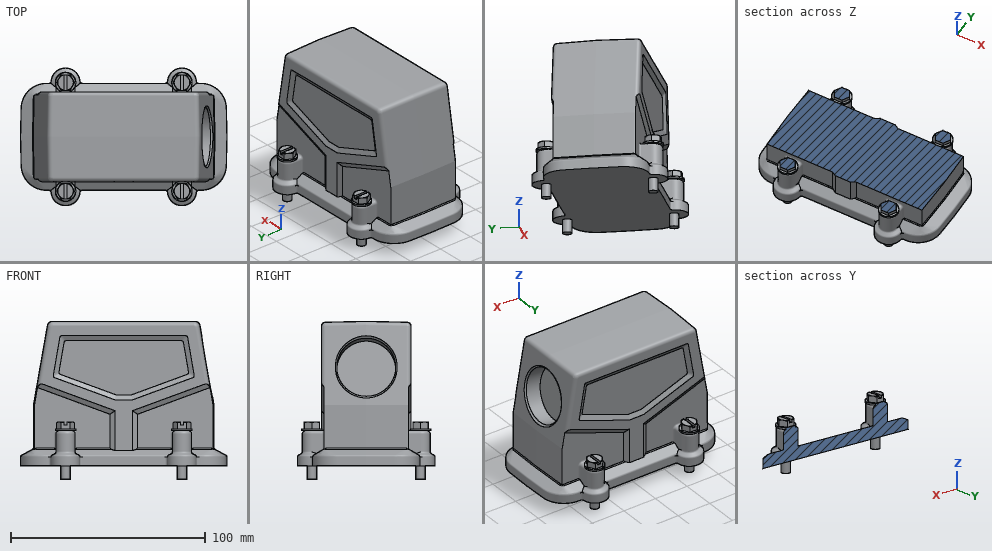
import cadquery as cq
import math

DRAFT = 1.2
BODY_HALF_LENGTH = 46.6
TOP_HALF_LENGTH = 39.0
KINK_Z = 31.2
TOP_Z = 74.5
BODY_START_Z = 1.0
RAISED_HALF_WIDTH = 23.15
RELIEF_DEPTH = 1.5
RECESSED_HALF_WIDTH = RAISED_HALF_WIDTH - RELIEF_DEPTH
RAISED_EDGE_RADIUS = 2.2
TOP_RIDGE_RADIUS = 2.6
RECESSED_EDGE_RADIUS = 1.3

FLANK_ANGLE = 60.0
ARM_ANGLE = 20.2
LEG_HALF_WIDTH = 4.5
ARM_START_Z = 28.4
POCKET_TOP_Z = 67.1
POCKET_BOTTOM_Z = 34.0
POCKET_TOP_HALF_LENGTH = 32.8
POCKET_SIDE_HALF_LENGTH = 36.45
POCKET_CORNER_RADIUS = 2.5

FLANGE_HALF_LENGTH = 53.25
FLANGE_HALF_WIDTH = 27.6
FLANGE_RIM_Z = 5.2
SLOPE_TOP_Z = 8.5
ROOT_TOP_Z = 9.2
ROOT_OUTSET = 0.45
ROOT_OVERLAP = 0.05
FLANGE_CORNER_RADIUS = 13.2
RIM_RADIUS = 1.0

BOSS_X = 30.0
BOSS_Y = 28.0
BOSS_RADIUS = 5.0
BOSS_TOP_Z = 18.1
BOSS_TOP_RADIUS = 1.75
BOSS_WALL_RADIUS = 1.0
LUG_RADIUS = 7.5
LUG_TOP_Z = 6.7
LUG_BOSS_RADIUS = 0.9
LUG_CORNER_RADIUS = 1.2
NOTCH_TOP_Z = 4.6

PIN_DIAMETER = 5.0
PIN_BOTTOM_Z = -7.0
PIN_OVERLAP = 1.0
WASHER_RADIUS = 5.3
WASHER_THICKNESS = 0.95
HEAD_ACROSS_FLATS = 8.0
HEAD_HEIGHT = 3.55
HEAD_CHAMFER_HEIGHT = 0.4
SLOT_WIDTH = 1.4
SLOT_DEPTH = 1.5

ENTRY_DIAMETER = 30.4
ENTRY_CHAMFER = 1.1
ENTRY_DEPTH = 10.0
ENTRY_Z = 51.0

SELECT_MARGIN = 0.1
ARM_SLOPE = math.tan(math.radians(ARM_ANGLE))
END_LEAN = (BODY_HALF_LENGTH - TOP_HALF_LENGTH) / (TOP_Z - KINK_Z)


def level_box(reach, z):
    """Selects what is centred at height z within the given reach of the Z axis."""
    return cq.selectors.BoxSelector(
        (-reach, -reach, z - SELECT_MARGIN),
        (reach, reach, z + SELECT_MARGIN),
    )


def drafted_body(half_width, edge_radius):
    """The -Y half of a body with rounded top ridges and side edges."""
    profile = [
        (-BODY_HALF_LENGTH, BODY_START_Z),
        (BODY_HALF_LENGTH, BODY_START_Z),
        (BODY_HALF_LENGTH, KINK_Z),
        (TOP_HALF_LENGTH, TOP_Z),
        (-TOP_HALF_LENGTH, TOP_Z),
        (-BODY_HALF_LENGTH, KINK_Z),
    ]
    half = cq.Workplane("XZ").polyline(profile).close().extrude(half_width, taper=DRAFT)
    top_ridges = cq.selectors.BoxSelector(
        (-BODY_HALF_LENGTH, -half_width + 1, TOP_Z - 2),
        (BODY_HALF_LENGTH, -1, TOP_Z + 1),
    )
    half = half.edges(top_ridges).fillet(TOP_RIDGE_RADIUS)
    return half.faces("<Y").edges("not <Z").fillet(edge_radius)


def side_sketch(points, y):
    """A closed outline on the -Y side, in X and Z, at distance y from the parting plane."""
    return cq.Workplane("XZ", origin=(0, -y, 0)).polyline(points).close()


def panel_recess(side):
    """Cutter for the recessed panel beside the leg, on the -Y face; side is -1 or 1."""
    reach = 2 * BODY_HALF_LENGTH
    bottom = -reach
    edge = [
        (side * LEG_HALF_WIDTH, bottom),
        (side * LEG_HALF_WIDTH, ARM_START_Z),
        (side * reach, ARM_START_Z + (reach - LEG_HALF_WIDTH) * ARM_SLOPE),
        (side * reach, bottom),
    ]
    return side_sketch(edge, RAISED_HALF_WIDTH).extrude(-RELIEF_DEPTH, taper=FLANK_ANGLE)


def pocket():
    """Cutter for the shallow pocket in the raised panel, with its four outer corners rounded."""
    side_z = POCKET_BOTTOM_Z + (POCKET_SIDE_HALF_LENGTH - LEG_HALF_WIDTH) * ARM_SLOPE
    right = [
        (LEG_HALF_WIDTH, POCKET_BOTTOM_Z),
        (POCKET_SIDE_HALF_LENGTH, side_z),
        (POCKET_TOP_HALF_LENGTH, POCKET_TOP_Z),
    ]
    left = [(-x, z) for x, z in reversed(right)]
    cutter = side_sketch(right + left, RAISED_HALF_WIDTH).extrude(-RELIEF_DEPTH, taper=FLANK_ANGLE)
    beyond_leg = LEG_HALF_WIDTH + 1
    centre = cq.selectors.BoxSelector(
        (-beyond_leg, -2 * RAISED_HALF_WIDTH, 0),
        (beyond_leg, 0, TOP_Z),
    )
    corners = cutter.edges("not #Y").edges(cq.selectors.SubtractSelector(cq.Selector(), centre))
    return corners.fillet(POCKET_CORNER_RADIUS)


def hood():
    """The -Y half of the hood: the raised panel on a slimmer body, with the pocket cut in."""
    raised = drafted_body(RAISED_HALF_WIDTH, RAISED_EDGE_RADIUS)
    recesses = panel_recess(-1).union(panel_recess(1))
    raised = raised.cut(recesses)
    recessed = drafted_body(RECESSED_HALF_WIDTH, RECESSED_EDGE_RADIUS)
    return raised.union(recessed).cut(pocket())


def plan_outline(half_length, half_width, corner_radius, z):
    """Six-sided plan outline, its ends drafted from y = 0, with rounded corners."""
    end_x = half_length - half_width * math.tan(math.radians(DRAFT))
    corners = [
        (half_length, 0),
        (end_x, half_width),
        (-end_x, half_width),
        (-half_length, 0),
        (-end_x, -half_width),
        (end_x, -half_width),
    ]
    block = cq.Workplane("XY").workplane(offset=z).polyline(corners).close().extrude(1)
    block = block.edges("|Z and (>Y or <Y)").fillet(corner_radius)
    return block.faces("<Z").wires().val()


def body_outline(outset, z):
    """Plan outline of the recessed body, set outward by a small distance."""
    return plan_outline(
        BODY_HALF_LENGTH + outset, RECESSED_HALF_WIDTH + outset, RECESSED_EDGE_RADIUS + outset, z
    )


def flange():
    """The -Y half of the flange: an upright rim, a slope and a narrow band at the body."""
    foot = plan_outline(FLANGE_HALF_LENGTH, FLANGE_HALF_WIDTH, FLANGE_CORNER_RADIUS, 0)
    rim = foot.moved(cq.Location(cq.Vector(0, 0, FLANGE_RIM_Z)))
    root = body_outline(ROOT_OUTSET, SLOPE_TOP_Z)
    neck = body_outline(-ROOT_OVERLAP, ROOT_TOP_Z)
    tiers = [(foot, rim), (rim, root), (root, neck)]
    plate = cq.Workplane("XY")
    for lower, upper in tiers:
        plate = plate.add(cq.Solid.makeLoft([lower, upper], True))
    plate = plate.combine()
    half_space = cq.Workplane("XY").box(
        4 * FLANGE_HALF_LENGTH, 2 * FLANGE_HALF_WIDTH, 4 * ROOT_TOP_Z
    )
    half = plate.intersect(half_space.translate((0, -FLANGE_HALF_WIDTH, 0)))
    rim_level = cq.selectors.BoxSelector(
        (-FLANGE_HALF_LENGTH - 1, -FLANGE_HALF_WIDTH - 1, FLANGE_RIM_Z - SELECT_MARGIN),
        (FLANGE_HALF_LENGTH + 1, -SELECT_MARGIN, FLANGE_RIM_Z + SELECT_MARGIN),
    )
    return half.edges(rim_level).fillet(RIM_RADIUS)


def at_bosses(feature):
    """The feature placed at both boss positions of the -Y side."""
    left = feature.translate((-BOSS_X, -BOSS_Y, 0))
    right = feature.translate((BOSS_X, -BOSS_Y, 0))
    return left.union(right)


def lug_webs():
    """Rounds off the notches between the lugs and the long edge of the flange."""
    strip_half_length = BOSS_X + LUG_RADIUS + 1.1 * LUG_CORNER_RADIUS
    strip_width = 2 * LUG_RADIUS
    strip = cq.Workplane("XY").box(
        2 * strip_half_length, strip_width, NOTCH_TOP_Z, centered=(True, False, False)
    )
    strip = strip.translate((0, -FLANGE_HALF_WIDTH, 0))
    discs = at_bosses(cq.Workplane("XY").circle(LUG_RADIUS).extrude(NOTCH_TOP_Z))
    notch_reach = BOSS_X + LUG_RADIUS + SELECT_MARGIN
    notches = cq.selectors.BoxSelector(
        (-notch_reach, -FLANGE_HALF_WIDTH - SELECT_MARGIN, 0),
        (notch_reach, -FLANGE_HALF_WIDTH + SELECT_MARGIN, NOTCH_TOP_Z),
    )
    return strip.union(discs).edges("|Z").edges(notches).fillet(LUG_CORNER_RADIUS)


def lug():
    """Round lug under a boss, sloping up to the boss wall."""
    stub_top = LUG_TOP_Z + 2 * LUG_BOSS_RADIUS
    profile = [
        (0, 0),
        (LUG_RADIUS, 0),
        (LUG_RADIUS, FLANGE_RIM_Z),
        (BOSS_RADIUS, LUG_TOP_Z),
        (BOSS_RADIUS, stub_top),
        (0, stub_top),
    ]
    body = cq.Workplane("YZ").polyline(profile).close().revolve(360, (0, 0), (0, 1))
    reach = LUG_RADIUS + 1
    body = body.edges("%CIRCLE").edges(level_box(reach, FLANGE_RIM_Z)).fillet(RIM_RADIUS)
    return body.edges("%CIRCLE").edges(level_box(reach, LUG_TOP_Z)).fillet(LUG_BOSS_RADIUS)


def boss():
    """Post joined to the body wall by a neck of its own width that flares at the wall."""
    wall = BOSS_Y - RECESSED_HALF_WIDTH
    post = (
        cq.Workplane("XY")
        .moveTo(BOSS_RADIUS, wall)
        .lineTo(-BOSS_RADIUS, wall)
        .lineTo(-BOSS_RADIUS, 0)
        .threePointArc((0, -BOSS_RADIUS), (BOSS_RADIUS, 0))
        .close()
        .extrude(BOSS_TOP_Z)
    )
    post = post.faces(">Z").edges("not >Y").fillet(BOSS_TOP_RADIUS)
    patch_width = 2 * BOSS_RADIUS + 4 * BOSS_WALL_RADIUS
    patch_height = BOSS_TOP_Z + 2 * BOSS_WALL_RADIUS
    patch = cq.Workplane("XY").box(
        patch_width, BOSS_WALL_RADIUS, patch_height, centered=(True, False, False)
    )
    joined = post.union(patch.translate((0, wall, 0)))
    joint = cq.selectors.BoxSelector(
        (-BOSS_RADIUS - SELECT_MARGIN, wall - SELECT_MARGIN, SELECT_MARGIN),
        (BOSS_RADIUS + SELECT_MARGIN, wall + SELECT_MARGIN, BOSS_TOP_Z + SELECT_MARGIN),
    )
    return joined.edges(joint).fillet(BOSS_WALL_RADIUS)


def disc(radius, bottom_z, height):
    return cq.Workplane("XY").workplane(offset=bottom_z).circle(radius).extrude(height)


def screw():
    """Pin end below the lug, and a washer with a slotted hexagon head on top of the boss."""
    washer_top = BOSS_TOP_Z + WASHER_THICKNESS
    slot_bottom = washer_top + HEAD_HEIGHT - SLOT_DEPTH
    corner_diameter = HEAD_ACROSS_FLATS / math.cos(math.radians(30))
    corner_overhang = (corner_diameter - HEAD_ACROSS_FLATS) / 2
    pin = disc(PIN_DIAMETER / 2, PIN_BOTTOM_Z, PIN_OVERLAP - PIN_BOTTOM_Z)
    washer = disc(WASHER_RADIUS, BOSS_TOP_Z, WASHER_THICKNESS)
    hexagon = cq.Workplane("XY").workplane(offset=washer_top).polygon(6, corner_diameter)
    crown = disc(corner_diameter / 2, washer_top, HEAD_HEIGHT)
    crown = crown.faces(">Z").chamfer(HEAD_CHAMFER_HEIGHT, corner_overhang)
    slot = cq.Workplane("XY").workplane(offset=slot_bottom).rect(SLOT_WIDTH, corner_diameter)
    head = hexagon.extrude(HEAD_HEIGHT).intersect(crown).cut(slot.extrude(SLOT_DEPTH))
    return pin.union(washer).union(head)


def cable_entry():
    """Cutter for the chamfered round entry, square to the sloped end face."""
    length = math.hypot(1, END_LEAN)
    outward = cq.Vector(1 / length, 0, END_LEAN / length)
    mouth = cq.Vector(BODY_HALF_LENGTH - (ENTRY_Z - KINK_Z) * END_LEAN, 0, ENTRY_Z)
    radius = ENTRY_DIAMETER / 2
    bore = cq.Solid.makeCylinder(radius, ENTRY_DEPTH, mouth, -outward)
    cone = cq.Solid.makeCone(radius + ENTRY_CHAMFER, radius, ENTRY_CHAMFER, mouth, -outward)
    return cq.Workplane(bore).union(cq.Workplane(cone))


fastening = lug().union(boss()).union(screw())
half = flange().union(hood()).union(lug_webs()).union(at_bosses(fastening))
result = half.union(half.mirror("XZ")).cut(cable_entry())